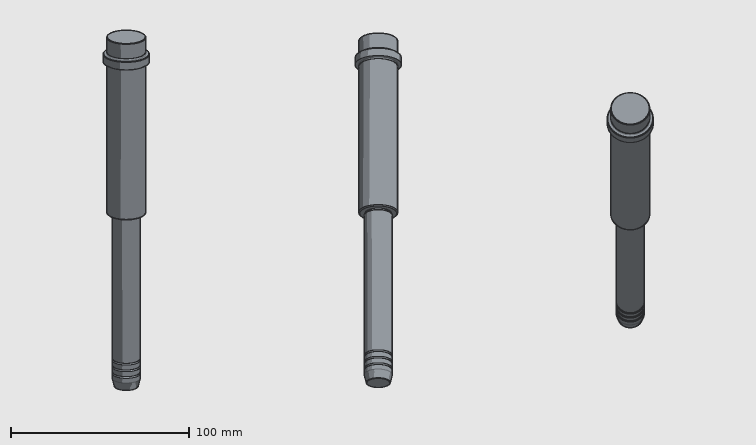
import cadquery as cq

total_length = 210.0
flange_top = 200.0
flange_bottom = 195.0
body_bottom = 104.0

body_diameter = 22.0
body_radius = body_diameter / 2
flange_radius = 13.0
pin_radius = 8.0

flange_chamfer = 0.5
body_chamfer = 0.6
top_chamfer = 0.5

groove_radius = 0.5

neck_length = 1.0
neck_depth = 0.5

nose_length = 5.0
nose_tip_radius = 6.7
nose_tip_chamfer = 0.32

pin_groove_count = 3
first_pin_groove_height = 8.5
pin_groove_pitch = 4.0


def cylinder(radius, bottom, top):
    """Solid cylinder on the Z axis between two heights."""
    return cq.Workplane("XY").workplane(offset=bottom).circle(radius).extrude(top - bottom)


def ring_groove(surface_radius, height):
    """Torus that cuts a half-round groove into a cylinder, centred on the given height."""
    return cq.Workplane(cq.Solid.makeTorus(surface_radius, groove_radius, cq.Vector(0, 0, height)))


def pin():
    """Long pin with a tapered nose, a neck under the body and ring grooves near the tip."""
    neck_radius = pin_radius - neck_depth
    neck_bottom = body_bottom - neck_length
    shank = (
        cq.Workplane("XZ")
        .lineTo(nose_tip_radius, 0)
        .lineTo(pin_radius, nose_length)
        .lineTo(pin_radius, neck_bottom)
        .lineTo(neck_radius, neck_bottom)
        .lineTo(neck_radius, body_bottom)
        .lineTo(0, body_bottom)
        .close()
        .revolve(360, (0, 0, 0), (0, 1, 0))
        .faces("<Z")
        .chamfer(nose_tip_chamfer)
    )
    for index in range(pin_groove_count):
        height = first_pin_groove_height + index * pin_groove_pitch
        shank = shank.cut(ring_groove(pin_radius, height))
    return shank


def body():
    """Thick upper cylinder with chamfered ends and a groove on each side of the flange."""
    barrel = cylinder(body_radius, body_bottom, total_length).faces("<Z").chamfer(body_chamfer)
    barrel = barrel.faces(">Z").chamfer(top_chamfer)
    for height in (flange_bottom - groove_radius, flange_top + groove_radius):
        barrel = barrel.cut(ring_groove(body_radius, height))
    return barrel


def flange():
    """Collar around the body with a chamfered upper edge."""
    return cylinder(flange_radius, flange_bottom, flange_top).faces(">Z").edges().chamfer(flange_chamfer)


result = pin().union(body()).union(flange())